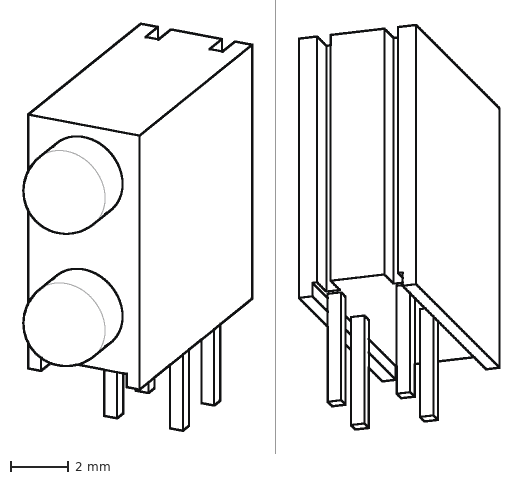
import cadquery as cq

width = 4.31
depth = 9.0
height = 9.6
lead_length = 3.5

foot_width = 0.5
foot_height = 0.5

slot_width = 0.5
slot_depth = 1.0
slot_edge = 0.67

lamp_diameter = 3.0
lamp_reach = 2.9
lamp_pitch = 5.0
top_lamp_drop = 1.95

lead_size = 0.5
lead_pitch_x = 2.54
lead_pitch_y = 2.5
rear_lead_inset = 1.48

lamp_radius = lamp_diameter / 2
barrel_length = lamp_reach - lamp_radius



def make_housing():
    body = cq.Workplane("XY").box(width, depth, height, centered=(True, False, False))
    channel = cq.Workplane("XY").box(
        width - 2 * foot_width, depth, foot_height, centered=(True, False, False)
    )
    slot_offset = width / 2 - slot_edge - slot_width / 2
    slots = (
        cq.Workplane("XY")
        .pushPoints([(side * slot_offset, depth - slot_depth / 2) for side in (-1, 1)])
        .rect(slot_width, slot_depth)
        .extrude(height)
    )
    return body.cut(channel).cut(slots)


def make_lamp(axis_height):
    """Barrel with a hemispherical tip, pointing out of the front face."""
    barrel = cq.Workplane("XZ", origin=(0, 0, axis_height)).circle(lamp_radius).extrude(barrel_length)
    dome = cq.Workplane("XY", origin=(0, -barrel_length, axis_height)).sphere(lamp_radius)
    behind_dome = cq.Workplane("XY", origin=(0, -barrel_length, axis_height)).box(
        lamp_diameter, lamp_diameter, lamp_diameter, centered=(True, False, True)
    )
    return barrel.union(dome.cut(behind_dome))


def make_leads():
    rear_y = depth - rear_lead_inset
    axes = [
        (side * lead_pitch_x / 2, y)
        for side in (-1, 1)
        for y in (rear_y, rear_y - lead_pitch_y)
    ]
    return (
        cq.Workplane("XY", origin=(0, 0, -lead_length))
        .pushPoints(axes)
        .rect(lead_size, lead_size)
        .extrude(lead_length + foot_height)
    )


result = make_housing().union(make_leads())
upper_axis = height - top_lamp_drop
for axis_height in (upper_axis, upper_axis - lamp_pitch):
    result = result.union(make_lamp(axis_height))